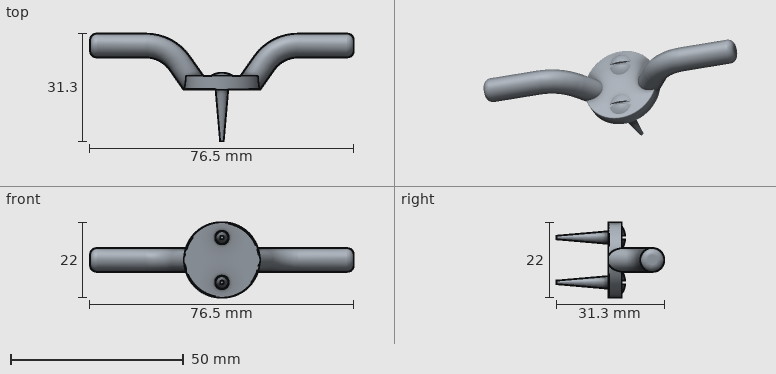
import cadquery as cq
import math


plate_diameter = 22.0
plate_thickness = 4.0
plate_edge_radius = 0.3

overall_length = 76.5
arm_diameter = 7.0
arm_radius = arm_diameter / 2
straight_grip_length = 16.2
grip_end_radius = 2.0
grip_axis_y = 12.8
bend_radius = 12.0
bend_angle = 55.0

screw_spacing = 13.0
screw_head_diameter = 6.4
dome_height = 1.0
countersink_slope = 45.0
shank_diameter = 3.6
clearance_hole_diameter = 4.0
shank_straight_end_y = -0.7
screw_tip_diameter = 1.1
screw_tip_y = -15.0
slot_width = 1.0

head_radius = screw_head_diameter / 2
shank_radius = shank_diameter / 2
tip_radius = screw_tip_diameter / 2
hole_radius = clearance_hole_diameter / 2
countersink_tangent = math.tan(math.radians(countersink_slope))
head_cone_end_y = plate_thickness - (head_radius - shank_radius) / countersink_tangent
countersink_end_y = plate_thickness - (head_radius - hole_radius) / countersink_tangent
dome_top_y = plate_thickness + dome_height
dome_sphere_radius = (head_radius**2 + dome_height**2) / (2 * dome_height)


def make_plate():
    """Disc with its axis along Y and both rims rounded."""
    disc = cq.Workplane("XZ").circle(plate_diameter / 2).extrude(-plate_thickness)
    return disc.edges().fillet(plate_edge_radius)


def make_arm():
    """Right-hand arm: straight grip, bend, then a straight leg cut off flush with the mounting face."""
    grip_end_x = overall_length / 2
    bend_start_x = grip_end_x - straight_grip_length
    bend_center_y = grip_axis_y - bend_radius

    def bend_point(degrees):
        turn = math.radians(degrees)
        return (
            bend_start_x - bend_radius * math.sin(turn),
            bend_center_y + bend_radius * math.cos(turn),
        )

    bend_end_x, bend_end_y = bend_point(bend_angle)
    leg_direction = math.radians(bend_angle)
    leg_overrun = arm_radius * math.cos(leg_direction)
    leg_drop = bend_end_y + leg_overrun
    leg_end = (bend_end_x - leg_drop / math.tan(leg_direction), -leg_overrun)

    path = (
        cq.Workplane("XY")
        .moveTo(grip_end_x, grip_axis_y)
        .lineTo(bend_start_x, grip_axis_y)
        .threePointArc(bend_point(bend_angle / 2), (bend_end_x, bend_end_y))
        .lineTo(*leg_end)
    )
    section = cq.Workplane("YZ", origin=(grip_end_x, grip_axis_y, 0)).circle(arm_radius)
    arm = section.sweep(path).faces(">X").edges().fillet(grip_end_radius)

    below_mounting_face = cq.Workplane("XZ").rect(overall_length, arm_diameter * 2).extrude(arm_diameter)
    return arm.cut(below_mounting_face)


def make_screw_blank():
    """Screw without its slot, turned about the Y axis."""
    middle_angle = math.asin(head_radius / dome_sphere_radius) / 2
    dome_middle = (
        dome_sphere_radius * math.sin(middle_angle),
        dome_top_y - dome_sphere_radius * (1 - math.cos(middle_angle)),
    )
    return (
        cq.Workplane("XY")
        .moveTo(0, screw_tip_y)
        .lineTo(tip_radius, screw_tip_y)
        .lineTo(shank_radius, shank_straight_end_y)
        .lineTo(shank_radius, head_cone_end_y)
        .lineTo(head_radius, plate_thickness)
        .threePointArc(dome_middle, (0, dome_top_y))
        .close()
        .revolve(360, (0, 0, 0), (0, 1, 0))
    )


def make_screw():
    """Screw with a driver slot along X, as deep as the dome."""
    slot = cq.Workplane("XY").box(
        screw_head_diameter, dome_height, slot_width, centered=(True, False, True)
    )
    return make_screw_blank().cut(slot.translate((0, plate_thickness, 0)))


def make_screw_hole():
    """Tool for a plate hole: countersink matching the screw head, then clearance around the shank."""
    clearance = cq.Workplane("XZ").circle(hole_radius).extrude(-countersink_end_y)
    return make_screw_blank().union(clearance)


screw_positions = [(0, 0, side * screw_spacing / 2) for side in (-1, 1)]

arm = make_arm()
handle = make_plate().union(arm).union(arm.mirror("YZ"))
for position in screw_positions:
    handle = handle.cut(make_screw_hole().translate(position))

screws = [make_screw().translate(position) for position in screw_positions]

result = cq.Compound.makeCompound([handle.solids().val(), *[screw.solids().val() for screw in screws]])